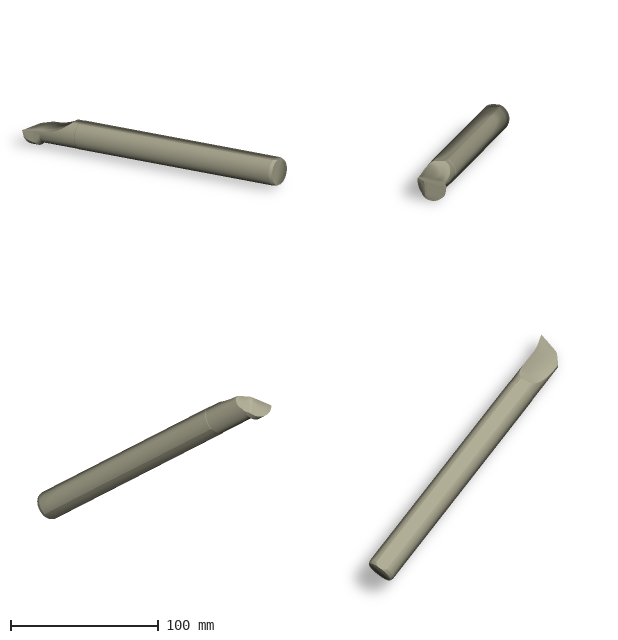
import cadquery as cq
import math

LENGTH = 200.0
SHANK_RADIUS = 10.0
NECK_RADIUS = 9.8
FLAT_HEIGHT = 9.0
NECK_END_X = 40.0
STEP_BEVEL_LENGTH = 0.5
END_BEVEL_LENGTH = 2.2
END_BEVEL_DEPTH = 0.8

HEAD_RADIUS = 11.5
HEAD_AXIS_Y = -1.8
HEAD_TAPER_X = 8.5
HEAD_END_X = 11.5
RELIEF_ANGLE = 6.0

TIP = (0.0, -13.0)
FLANK_END = (7.5, -10.5)
NOSE_START = (4.0, 1.8)
NOSE_END = (4.8, 3.5)
BACK_CORNER = (HEAD_END_X, NECK_RADIUS)
OUTLINE_OVERRUN = 8.0

FLOOR_TILT = 6.0
SCOOP_RADIUS = 36.0
SCOOP_START_X = 12.5

INSERT_THICKNESS = 2.5
INSERT_INNER_CORNER = (9.2, -3.8)
INSERT_FRONT_Y = -5.2
INSERT_FLANK_X = 7.0

CUT_SIZE = 2 * LENGTH


def make_bar():
    """Turned shank and neck with two parallel flats."""
    profile = [
        (HEAD_END_X, 0),
        (HEAD_END_X, NECK_RADIUS),
        (NECK_END_X, NECK_RADIUS),
        (NECK_END_X + STEP_BEVEL_LENGTH, SHANK_RADIUS),
        (LENGTH - END_BEVEL_LENGTH, SHANK_RADIUS),
        (LENGTH, SHANK_RADIUS - END_BEVEL_DEPTH),
        (LENGTH, 0),
    ]
    turned = cq.Workplane("XY").polyline(profile).close().revolve(360, (0, 0, 0), (1, 0, 0))
    upper_flat = cq.Workplane("XY").box(CUT_SIZE, CUT_SIZE, CUT_SIZE, centered=(True, True, False))
    upper_flat = upper_flat.translate((0, 0, FLAT_HEIGHT))
    lower_flat = cq.Workplane("XY").box(LENGTH, CUT_SIZE, CUT_SIZE, centered=(False, True, False))
    lower_flat = lower_flat.translate((NECK_END_X, 0, -FLAT_HEIGHT - CUT_SIZE))
    return turned.cut(upper_flat).cut(lower_flat)


def make_head_block():
    """Head with relieved walls, before the scoop and the insert are taken out."""
    profile = [
        (0, 0),
        (0, HEAD_RADIUS),
        (HEAD_TAPER_X, HEAD_RADIUS),
        (HEAD_END_X, NECK_RADIUS + HEAD_AXIS_Y),
        (HEAD_END_X, 0),
    ]
    turned = cq.Workplane("XY").polyline(profile).close().revolve(360, (0, 0, 0), (1, 0, 0))
    turned = turned.translate((0, HEAD_AXIS_Y, 0))
    neck_stub = cq.Workplane("YZ").circle(NECK_RADIUS).extrude(HEAD_END_X)

    overrun_x = HEAD_END_X + OUTLINE_OVERRUN
    outline = [
        TIP,
        FLANK_END,
        (HEAD_END_X, -NECK_RADIUS),
        (overrun_x, -NECK_RADIUS),
        (overrun_x, BACK_CORNER[1]),
        BACK_CORNER,
        NOSE_END,
        NOSE_START,
    ]
    plan = cq.Sketch().polygon([*outline, TIP])
    walls_below = cq.Workplane("XY").placeSketch(plan).extrude(-HEAD_RADIUS, taper=RELIEF_ANGLE)
    walls_above = cq.Workplane("XY").placeSketch(plan).extrude(HEAD_RADIUS, taper=-RELIEF_ANGLE)
    walls = walls_below.union(walls_above)
    return turned.union(neck_stub).intersect(walls)


def tilt_to_floor(shape):
    """Move a shape whose floor is at Z = 0 onto the tilted floor through the tip."""
    return shape.rotate((0, 0, 0), (1, 0, 0), FLOOR_TILT).translate((0, TIP[1], 0))


def make_scoop():
    """Everything above the tilted floor and its curved ramp."""
    ramp_end = (SCOOP_START_X + SCOOP_RADIUS, SCOOP_RADIUS)
    half_ramp = math.radians(45)
    ramp_middle = (
        SCOOP_START_X + SCOOP_RADIUS * math.sin(half_ramp),
        SCOOP_RADIUS * (1 - math.cos(half_ramp)),
    )
    side = (
        cq.Workplane("XZ")
        .moveTo(-SCOOP_RADIUS, 0)
        .lineTo(SCOOP_START_X, 0)
        .threePointArc(ramp_middle, ramp_end)
        .lineTo(-SCOOP_RADIUS, SCOOP_RADIUS)
        .close()
    )
    return tilt_to_floor(side.extrude(LENGTH / 2, both=True))


def make_insert_pocket():
    """Seat of the insert, open to the front and to the flank."""
    front_share = (INSERT_FRONT_Y - TIP[1]) / (NOSE_START[1] - TIP[1])
    front_corner = (TIP[0] + front_share * (NOSE_START[0] - TIP[0]), INSERT_FRONT_Y)
    flank_share = (INSERT_FLANK_X - TIP[0]) / (FLANK_END[0] - TIP[0])
    flank_corner = (INSERT_FLANK_X, TIP[1] + flank_share * (FLANK_END[1] - TIP[1]))

    def past(corner):
        return tuple(2 * c - i for c, i in zip(corner, INSERT_INNER_CORNER))

    front_open = past(front_corner)
    flank_open = past(flank_corner)
    outer = tuple(f + s - i for f, s, i in zip(front_open, flank_open, INSERT_INNER_CORNER))
    seat_plan = [INSERT_INNER_CORNER, front_open, outer, flank_open]
    column = cq.Workplane("XY").polyline(seat_plan).close().extrude(HEAD_RADIUS, both=True)
    layer = cq.Workplane("XY").box(
        CUT_SIZE, CUT_SIZE, INSERT_THICKNESS + HEAD_RADIUS, centered=(True, True, False)
    )
    layer = layer.translate((0, 0, -INSERT_THICKNESS))
    return column.intersect(tilt_to_floor(layer))


pocket = make_insert_pocket()
tool = make_bar().union(make_head_block()).cut(make_scoop()).clean()
holder = tool.cut(pocket)
insert = tool.intersect(pocket)

result = cq.Compound.makeCompound([holder.val(), insert.val()])